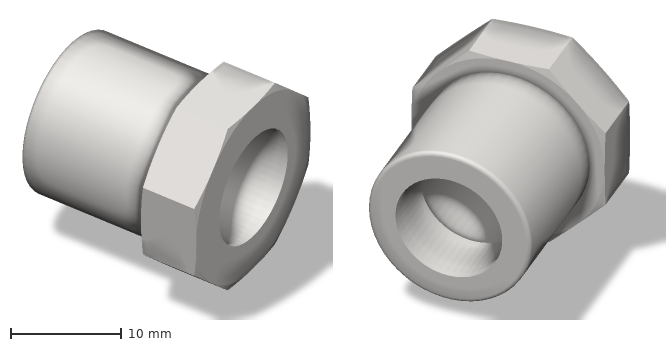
import cadquery as cq
import math

total_length = 20.0
head_length = 6.0
barrel_length = total_length - head_length

barrel_diameter = 16.0
barrel_end_radius = 0.42

head_sides = 8
across_flats = 19.0
across_corners = across_flats / math.cos(math.pi / head_sides)
chamfer_depth = 0.22

narrow_bore_diameter = 10.5
wide_bore_diameter = 11.45
narrow_bore_length = 6.0


def cylinder(diameter, start, length):
    """Cylinder on the X axis, running from X = start."""
    return cq.Workplane("YZ", origin=(start, 0, 0)).circle(diameter / 2).extrude(length)


def make_barrel():
    """Round barrel with a rounded free end."""
    return cylinder(barrel_diameter, 0, barrel_length).faces("<X").edges().fillet(barrel_end_radius)


def make_head():
    """Octagon with flats facing Y and Z, corners turned off conically at both ends."""
    half_turn = 180.0 / head_sides
    octagon = (
        cq.Workplane("YZ")
        .polygon(head_sides, across_corners)
        .extrude(head_length)
        .rotate((0, 0, 0), (1, 0, 0), half_turn)
        .translate((barrel_length, 0, 0))
    )
    flat_radius = across_flats / 2
    corner_radius = across_corners / 2
    turned_envelope = (
        cq.Workplane("XY")
        .moveTo(barrel_length, 0)
        .lineTo(barrel_length, flat_radius)
        .lineTo(barrel_length + chamfer_depth, corner_radius)
        .lineTo(total_length - chamfer_depth, corner_radius)
        .lineTo(total_length, flat_radius)
        .lineTo(total_length, 0)
        .close()
        .revolve(360, (0, 0, 0), (1, 0, 0))
    )
    return octagon.intersect(turned_envelope)


narrow_bore = cylinder(narrow_bore_diameter, 0, narrow_bore_length)
wide_bore = cylinder(wide_bore_diameter, narrow_bore_length, total_length - narrow_bore_length)

result = make_barrel().union(make_head()).cut(narrow_bore).cut(wide_bore)